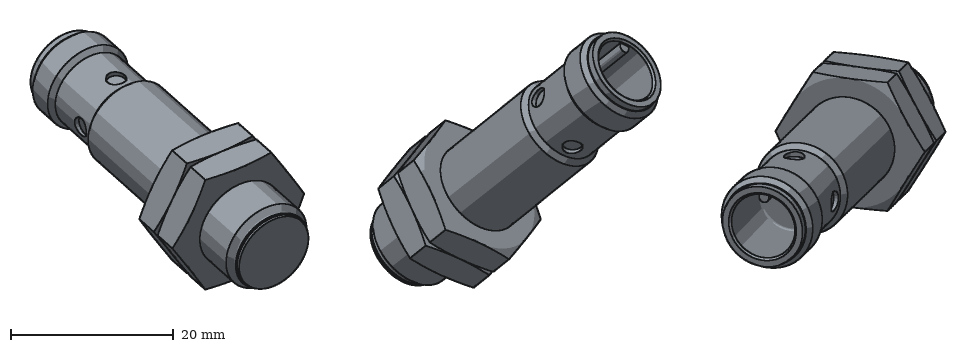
import cadquery as cq
import math

length = 45.3
barrel_radius = 12.0 / 2
neck_radius = 10.65 / 2
nose_radius = 5.25
tail_radius = 5.15

collar_start = 0.95
collar_end = 5.53
main_start = 12.95
main_end = 44.35
tail_groove_end = 44.75
tail_start = 44.9

nose_chamfer = 0.65
neck_chamfer = barrel_radius - neck_radius
tail_groove_depth = 0.1

mouth_radius = 4.45
socket_radius = 4.15
socket_floor_fillet = 0.25
mouth_chamfer = mouth_radius - socket_radius
socket_depth = 9.95

key_radius = 0.65
key_center_z = 3.65
key_start = 0.5

recess_count = 4
recess_diameter = 2.55
recess_depth = 0.65
recess_x = 11.0

nut_count = 2
nut_start = 29.95
nut_thickness = 8.0 / nut_count
across_flats = 17.0
across_corners = across_flats * 2 / math.sqrt(3)
nut_chamfer_length = 0.4


def barrel_blank():
    """Revolve the solid outline of the barrel about the X axis."""
    groove_middle = (main_end + tail_groove_end) / 2
    return (
        cq.Workplane("XY")
        .moveTo(0, 0)
        .lineTo(0, nose_radius)
        .lineTo(collar_start, nose_radius)
        .lineTo(collar_start, barrel_radius - nose_chamfer)
        .lineTo(collar_start + nose_chamfer, barrel_radius)
        .lineTo(collar_end - neck_chamfer, barrel_radius)
        .lineTo(collar_end, neck_radius)
        .lineTo(main_start, neck_radius)
        .lineTo(main_start + neck_chamfer, barrel_radius)
        .lineTo(main_end - neck_chamfer, barrel_radius)
        .lineTo(main_end, neck_radius)
        .threePointArc(
            (groove_middle, neck_radius - tail_groove_depth),
            (tail_groove_end, neck_radius),
        )
        .lineTo(tail_start, neck_radius)
        .lineTo(tail_start, tail_radius)
        .lineTo(length, tail_radius)
        .lineTo(length, 0)
        .close()
        .revolve(360, (0, 0, 0), (1, 0, 0))
    )


def socket_cavity():
    """Round socket with a chamfered mouth and filleted floor, minus the keying rib."""
    cavity = (
        cq.Workplane("XY")
        .moveTo(0, 0)
        .lineTo(0, mouth_radius)
        .lineTo(mouth_chamfer, socket_radius)
        .lineTo(socket_depth - socket_floor_fillet, socket_radius)
        .radiusArc((socket_depth, socket_radius - socket_floor_fillet), socket_floor_fillet)
        .lineTo(socket_depth, 0)
        .close()
        .revolve(360, (0, 0, 0), (1, 0, 0))
    )
    key_length = socket_depth - key_start
    key_plane = cq.Workplane("YZ", origin=(key_start, 0, key_center_z))
    round_edge = key_plane.circle(key_radius).extrude(key_length)
    root_height = mouth_radius - key_center_z
    root = (
        key_plane.center(0, root_height / 2)
        .rect(2 * key_radius, root_height)
        .extrude(key_length)
    )
    return cavity.cut(round_edge.union(root))


def neck_recess(angle):
    """Cutter for one flat-bottomed recess, turned about X by the angle."""
    return (
        cq.Workplane("XY", origin=(recess_x, 0, neck_radius - recess_depth))
        .circle(recess_diameter / 2)
        .extrude(2 * recess_depth)
        .rotate((0, 0, 0), (1, 0, 0), angle)
    )


def make_barrel():
    barrel = barrel_blank().cut(socket_cavity())
    for i in range(recess_count):
        barrel = barrel.cut(neck_recess(i * 360 / recess_count))
    return barrel


def make_nut(start_x):
    """Hexagon nut with its corners along Y and both faces chamfered."""
    face_radius = across_flats / 2
    corner_radius = across_corners / 2
    hexagon = (
        cq.Workplane("YZ")
        .polygon(6, across_corners)
        .circle(barrel_radius)
        .extrude(nut_thickness)
    )
    chamfer_envelope = (
        cq.Workplane("XY")
        .moveTo(0, 0)
        .lineTo(0, face_radius)
        .lineTo(nut_chamfer_length, corner_radius)
        .lineTo(nut_thickness - nut_chamfer_length, corner_radius)
        .lineTo(nut_thickness, face_radius)
        .lineTo(nut_thickness, 0)
        .close()
        .revolve(360, (0, 0, 0), (1, 0, 0))
    )
    return hexagon.intersect(chamfer_envelope).translate((start_x, 0, 0))


barrel = make_barrel()
nuts = [make_nut(nut_start + i * nut_thickness) for i in range(nut_count)]

result = cq.Compound.makeCompound([barrel.val(), *[nut.val() for nut in nuts]])